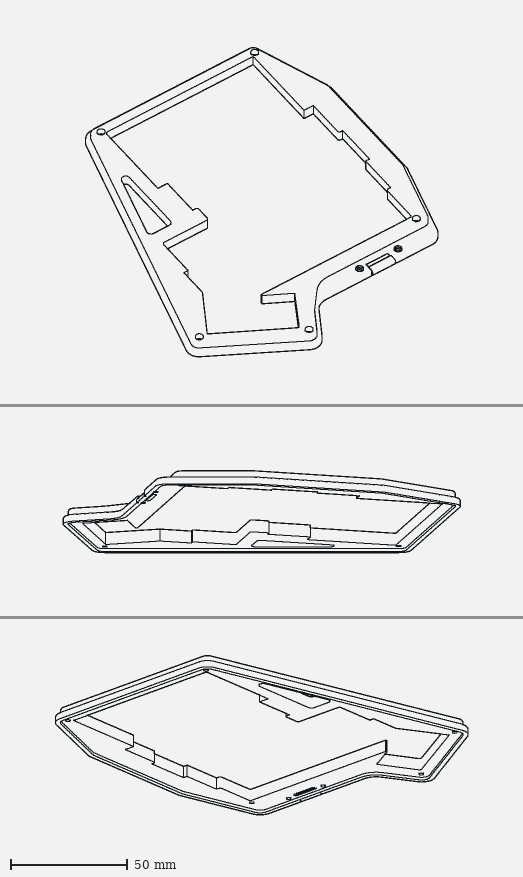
import cadquery as cq
import math


ledge_height = 3.3
total_height = 6.6
ledge_width = 2.2
rim_radius = 1.1

lid_depth = 1.3
lid_wall = ledge_width

width = 157.1
depth = 137.5
corner_radius = 5.8
crown_radius = 4.0
crown_left_x = 38.5
crown_right_x = 95.8
shoulder_x = 136.3
upper_shoulder_x = 128.3
left_slope = 20
right_slope = 15
base_slope = 15
arm_slope = 60
neck_radius = 7.2

upper_neck_y = 68.8
upper_neck_slope = 40
upper_neck_radius = 8.5
upper_neck_blend = 15.7

tail_x = 127.5
tail_y = corner_radius
arm_tip_x = width - corner_radius
arm_tip_y = tail_y + (arm_tip_x - tail_x) * math.tan(math.radians(arm_slope))

opening_left = 7.5
opening_right = 122.8
opening_radius = 1.0
sharp = 0.0

window_right = 67.2
window_top = 34.2
window_height = 12.5
window_radius = 1.9

hole_diameter = 2.0
counterbore_diameter = 3.5
frame_counterbore_depth = 3.1
socket_counterbore_depth = 1.0
frame_holes = [(6.0, 120.0), (124.9, 121.7), (6.0, 39.5), (151.3, 47.1), (127.7, 6.0)]
socket_hole_x = 132.3
socket_hole_spacing = 20.1

socket_center_y = 96.9
socket_length = 12.0
socket_left = 130.5
bridge_height = 2.2
socket_rounding = 1.0
socket_radius = 0.8
bridge_left = 132.3


def rounded_outline(corners):
    """Closed outline through (x, y, radius) corners, each blunted by an arc."""
    outline = None
    for i, (x, y, radius) in enumerate(corners):
        corner = cq.Vector(x, y)
        to_last = (cq.Vector(*corners[i - 1][:2]) - corner).normalized()
        to_next = (cq.Vector(*corners[(i + 1) % len(corners)][:2]) - corner).normalized()
        half_angle = to_last.getAngle(to_next) / 2
        setback = radius / math.tan(half_angle)
        start = corner + to_last * setback
        if outline is None:
            outline = cq.Workplane("XY").moveTo(start.x, start.y)
        else:
            outline = outline.lineTo(start.x, start.y)
        if radius > 0:
            end = corner + to_next * setback
            bisector = (to_last + to_next).normalized()
            middle = corner + bisector * (radius / math.sin(half_angle) - radius)
            outline = outline.threePointArc((middle.x, middle.y), (end.x, end.y))
    return outline.close()


def frame_outline(right_x, stepped_neck=False):
    """Outer outline with its right side at right_x; a stepped neck bends in two stages."""
    left_tan = math.tan(math.radians(left_slope))
    right_tan = math.tan(math.radians(right_slope))
    base = math.radians(base_slope)
    arm = math.radians(arm_slope)

    def base_y(x):
        return tail_y - corner_radius / math.cos(base) - (x - tail_x) * math.tan(base)

    tip_x = arm_tip_x + corner_radius * (math.sin(arm) + math.cos(arm))
    tip_y = arm_tip_y + corner_radius * (math.sin(arm) - math.cos(arm))
    neck_y = tip_y + (tip_x - right_x) / math.tan(arm)

    if stepped_neck:
        neck_tan = math.tan(math.radians(upper_neck_slope))
        blend_x = right_x + (upper_neck_y - neck_y) / (neck_tan - 1 / math.tan(arm))
        blend_y = upper_neck_y - (blend_x - right_x) * neck_tan
        neck = [(right_x, upper_neck_y, upper_neck_radius), (blend_x, blend_y, upper_neck_blend)]
    else:
        neck = [(right_x, neck_y, neck_radius)]

    tail_reach = (tip_y - base_y(tip_x)) / (math.tan(arm) + math.tan(base))
    tail_corner_x = tip_x - tail_reach

    return rounded_outline([
        (0, base_y(0), corner_radius),
        (0, depth - crown_left_x * left_tan, corner_radius),
        (crown_left_x, depth, crown_radius),
        (crown_right_x, depth, crown_radius),
        (right_x, depth - (right_x - crown_right_x) * right_tan, corner_radius),
        *neck,
        (tip_x, tip_y, corner_radius),
        (tail_corner_x, base_y(tail_corner_x), corner_radius),
    ])


def make_tiers():
    """Two stacked tiers, each with a rounded upper rim."""
    lower = frame_outline(shoulder_x).extrude(ledge_height)
    lower = lower.faces(">Z").edges().fillet(rim_radius)
    upper = frame_outline(upper_shoulder_x + ledge_width, stepped_neck=True)
    upper = upper.offset2D(-ledge_width).extrude(total_height)
    upper = upper.faces(">Z").edges().fillet(rim_radius)
    return lower.union(upper)


def make_opening():
    top_steps = [
        (opening_left, 118.1, sharp),
        (45.7, 118.1, sharp),
        (45.7, 123.0, sharp),
        (64.9, 123.0, opening_radius),
        (64.9, 125.0, sharp),
        (85.0, 125.0, sharp),
        (85.0, 123.0, sharp),
        (103.8, 123.0, sharp),
        (103.8, 120.8, opening_radius),
        (opening_right, 120.8, opening_radius),
    ]
    arm_pocket = [
        (opening_right, 41.8, sharp),
        (123.6, 41.8, sharp),
        (130.5, 54.0, sharp),
        (148.0, 44.3, opening_radius),
        (128.3, 9.7, sharp),
        (107.5, 21.8, sharp),
    ]
    bottom_steps = [
        (93.5, 21.8, sharp),
        (93.5, 24.0, sharp),
        (74.1, 24.0, opening_radius),
        (74.1, 48.2, opening_radius),
        (65.8, 48.2, opening_radius),
        (65.8, 45.7, sharp),
        (46.8, 45.7, sharp),
        (46.8, 40.7, sharp),
        (opening_left, 40.7, opening_radius),
    ]
    return rounded_outline(top_steps + arm_pocket + bottom_steps).extrude(total_height)


def make_window():
    length = window_height / math.tan(math.radians(base_slope))
    return rounded_outline([
        (window_right, window_top, window_radius),
        (window_right, window_top - window_height, window_radius),
        (window_right - length, window_top, window_radius),
    ]).extrude(total_height)


def make_holes(centers, top_z, counterbore_depth):
    """Through holes counterbored from the face at top_z."""
    holes = cq.Workplane("XY").pushPoints(centers).circle(hole_diameter / 2).extrude(top_z)
    counterbores = (
        cq.Workplane("XY", origin=(0, 0, top_z))
        .pushPoints(centers)
        .circle(counterbore_diameter / 2)
        .extrude(-counterbore_depth)
    )
    return holes.union(counterbores)


def add_socket(body):
    """Notch the right-hand ledge, round the notch's upper edges and bridge its open side."""
    low_y = socket_center_y - socket_length / 2
    high_y = low_y + socket_length
    past_shoulder_x = shoulder_x + 1.5
    notch = rounded_outline([
        (socket_left, low_y, socket_radius),
        (socket_left, high_y, socket_radius),
        (past_shoulder_x, high_y, sharp),
        (past_shoulder_x, low_y, sharp),
    ]).extrude(ledge_height)

    margin = 0.2
    notch_edges = cq.selectors.BoxSelector(
        (socket_left - margin, low_y - margin, ledge_height - margin),
        (shoulder_x - rim_radius, high_y + margin, ledge_height + margin),
    )
    body = body.cut(notch).edges(notch_edges).fillet(socket_rounding)

    bridge = (
        cq.Workplane("XY")
        .box(shoulder_x - bridge_left, socket_length, bridge_height, centered=False)
        .edges("|Y and >Z")
        .fillet(rim_radius)
        .translate((bridge_left, low_y, 0))
    )
    return body.union(bridge)


def make_lid_recess():
    """Shallow recess in the underside, leaving a wall all round."""
    return frame_outline(shoulder_x).offset2D(-lid_wall).extrude(lid_depth)


socket_holes = [
    (socket_hole_x, socket_center_y + side * socket_hole_spacing / 2) for side in (-1, 1)
]

result = (
    add_socket(make_tiers())
    .cut(make_lid_recess())
    .cut(make_opening())
    .cut(make_window())
    .cut(make_holes(frame_holes, total_height, frame_counterbore_depth))
    .cut(make_holes(socket_holes, ledge_height, socket_counterbore_depth))
)